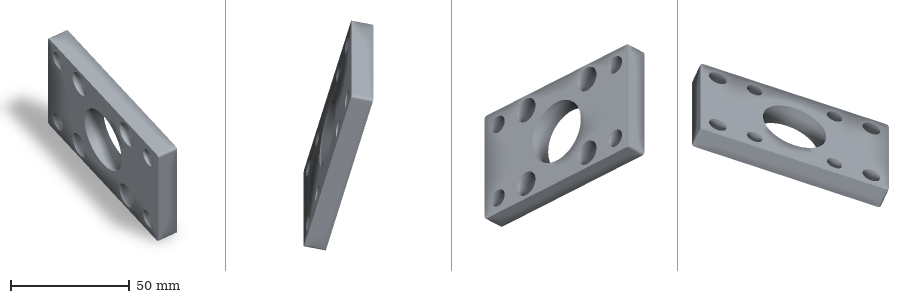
import cadquery as cq

length = 85.7
thickness = 9.5
height = 50.8
corner_radius = 1.2

bore_diameter = 28.8
hole_spacing_z = 36.35
outer_hole_diameter = 8.0
outer_hole_spacing_x = 69.9
screw_hole_diameter = 6.95
screw_hole_spacing_x = 36.35
counterbore_diameter = 11.15
counterbore_depth = 6.9

plate = cq.Workplane("XZ").box(length, height, thickness).edges("|Y").fillet(corner_radius)


def front_face(body):
    """Workplane on the -Y face, centred on the plate."""
    return body.faces("<Y").workplane(centerOption="CenterOfBoundBox")


plate = front_face(plate).hole(bore_diameter)

plate = (
    front_face(plate)
    .rarray(outer_hole_spacing_x, hole_spacing_z, 2, 2)
    .hole(outer_hole_diameter)
)

result = (
    front_face(plate)
    .rarray(screw_hole_spacing_x, hole_spacing_z, 2, 2)
    .cboreHole(screw_hole_diameter, counterbore_diameter, counterbore_depth)
)